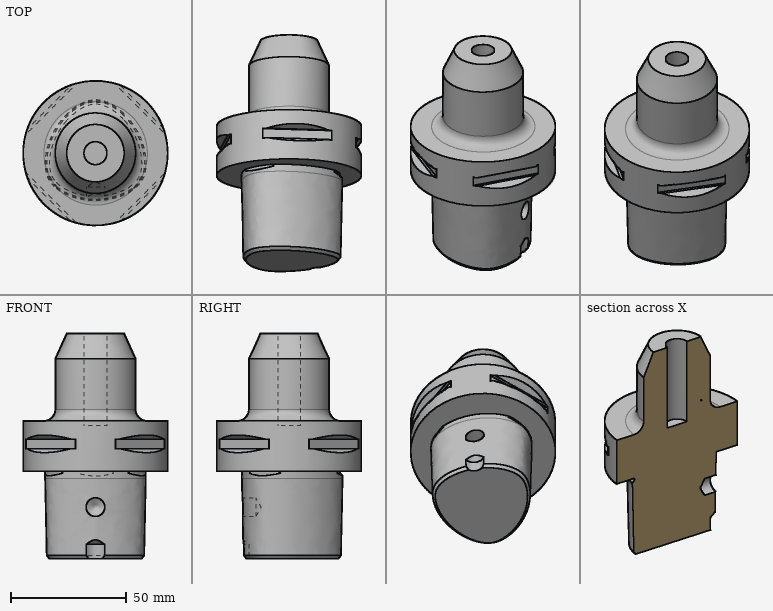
import cadquery as cq
import math

SHANK_LENGTH = 38.0
FLANGE_HEIGHT = 22.0
NOSE_LENGTH = 38.0

FLANGE_DIAMETER = 63.0
NOSE_DIAMETER = 35.0
NOSE_TIP_DIAMETER = 25.0
NOSE_CONE_LENGTH = 11.0
NOSE_ROOT_RADIUS = 5.0
BORE_DIAMETER = 10.0
BORE_DEPTH = 40.0

SHANK_WIDTH = 43.9
SHANK_END_WIDTH = 42.5
LOBE_HEIGHT = 1.4
LOBE_COUNT = 3
FIRST_LOBE_ANGLE = 90.0
OUTLINE_POINTS = 72
STRAIGHT_LENGTH = 3.0
END_CHAMFER_LENGTH = 1.5
END_CHAMFER_WIDTH = 1.2

GROOVE_BOTTOM_DIAMETER = 44.5
GROOVE_RADIUS = 0.8
GROOVE_CENTER_Z = -0.45
GROOVE_EXIT_ANGLE = 45.0

NOTCH_COUNT = 4
FIRST_NOTCH_ANGLE = 45.0
NOTCH_CENTER_Z = 12.0
NOTCH_FLOOR_DISTANCE = 27.3
NOTCH_FLOOR_WIDTH = 30.3
NOTCH_HEIGHT = 4.2
NOTCH_WALL_DEPTH = 1.2
NOTCH_FLARE_ANGLE = 30.0

SIDE_HOLE_DIAMETER = 8.1
SIDE_HOLE_POINT_ANGLE = 120.0
SIDE_HOLE_Z = -15.5
SIDE_HOLE_DEPTH = 6.0
KEYWAY_AXIS_DISTANCE = 22.35
KEYWAY_DIAMETER = 9.6
KEYWAY_POINT_ANGLE = 102.0
KEYWAY_HEIGHT = 6.3

FLANGE_RADIUS = FLANGE_DIAMETER / 2
NOSE_RADIUS = NOSE_DIAMETER / 2
NOSE_TOP_Z = FLANGE_HEIGHT + NOSE_LENGTH
FLAT_DISTANCE = SHANK_WIDTH / 2 - LOBE_HEIGHT
CLEARANCE = 5.0


def make_head():
    """Flange and nose as one turned body."""
    root_z = FLANGE_HEIGHT + NOSE_ROOT_RADIUS
    root_x = NOSE_RADIUS + NOSE_ROOT_RADIUS
    arc_offset = NOSE_ROOT_RADIUS * math.sin(math.radians(45))
    profile = (
        cq.Workplane("XZ")
        .lineTo(FLANGE_RADIUS, 0)
        .lineTo(FLANGE_RADIUS, FLANGE_HEIGHT)
        .lineTo(root_x, FLANGE_HEIGHT)
        .threePointArc((root_x - arc_offset, root_z - arc_offset), (NOSE_RADIUS, root_z))
        .lineTo(NOSE_RADIUS, NOSE_TOP_Z - NOSE_CONE_LENGTH)
        .lineTo(NOSE_TIP_DIAMETER / 2, NOSE_TOP_Z)
        .lineTo(0, NOSE_TOP_Z)
        .close()
    )
    return profile.revolve(360, (0, 0, 0), (0, 1, 0))


def shank_outline(z, inset):
    """Constant-width lobed curve at height z, moved inward by inset."""
    points = []
    for i in range(OUTLINE_POINTS):
        angle = 2 * math.pi * i / OUTLINE_POINTS
        lobe_phase = LOBE_COUNT * (angle - math.radians(FIRST_LOBE_ANGLE))
        distance = SHANK_WIDTH / 2 - inset + LOBE_HEIGHT * math.cos(lobe_phase)
        rate = -LOBE_COUNT * LOBE_HEIGHT * math.sin(lobe_phase)
        x = distance * math.cos(angle) - rate * math.sin(angle)
        y = distance * math.sin(angle) + rate * math.cos(angle)
        points.append(cq.Vector(x, y, z))
    return cq.Wire.assembleEdges([cq.Edge.makeSpline(points, periodic=True)])


def make_shank():
    """Straight neck, tapered body and chamfered end of the shank."""
    taper_end = SHANK_LENGTH - END_CHAMFER_LENGTH
    taper_inset = (SHANK_WIDTH - SHANK_END_WIDTH) / 2
    sections = [
        shank_outline(0, 0),
        shank_outline(-STRAIGHT_LENGTH, 0),
        shank_outline(-taper_end, taper_inset),
        shank_outline(-SHANK_LENGTH, taper_inset + END_CHAMFER_WIDTH),
    ]
    return cq.Workplane(cq.Solid.makeLoft(sections, True))


def make_groove():
    """Ring that cuts the undercut groove: an arc running tangentially into a slope."""
    bottom_x = GROOVE_BOTTOM_DIAMETER / 2
    center_x = bottom_x + GROOVE_RADIUS
    exit_angle = math.radians(GROOVE_EXIT_ANGLE)
    top_x = center_x - math.sqrt(GROOVE_RADIUS**2 - GROOVE_CENTER_Z**2)
    slope_x = center_x - GROOVE_RADIUS * math.sin(exit_angle)
    slope_z = GROOVE_CENTER_Z - GROOVE_RADIUS * math.cos(exit_angle)
    outer_x = center_x + CLEARANCE
    outer_z = slope_z - (outer_x - slope_x) * math.tan(exit_angle)
    section = (
        cq.Workplane("XZ")
        .moveTo(top_x, 0)
        .threePointArc((bottom_x, GROOVE_CENTER_Z), (slope_x, slope_z))
        .lineTo(outer_x, outer_z)
        .lineTo(outer_x, 0)
        .close()
    )
    return section.revolve(360, (0, 0, 0), (0, 1, 0))


def make_notch():
    """Gripper notch with short straight walls and flared sides, on the +X side."""
    half_height = NOTCH_HEIGHT / 2
    flare_start = NOTCH_FLOOR_DISTANCE + NOTCH_WALL_DEPTH
    outer = FLANGE_RADIUS + CLEARANCE
    flare = (outer - flare_start) * math.tan(math.radians(NOTCH_FLARE_ANGLE))
    return (
        cq.Workplane("XZ")
        .moveTo(NOTCH_FLOOR_DISTANCE, -half_height)
        .lineTo(flare_start, -half_height)
        .lineTo(outer, -half_height - flare)
        .lineTo(outer, half_height + flare)
        .lineTo(flare_start, half_height)
        .lineTo(NOTCH_FLOOR_DISTANCE, half_height)
        .close()
        .extrude(NOTCH_FLOOR_WIDTH / 2, both=True)
        .translate((0, 0, NOTCH_CENTER_Z))
    )


def make_drill(diameter, point_angle, depth):
    """Drill envelope along +Z: full diameter up to depth, then the conical point."""
    radius = diameter / 2
    point_height = radius / math.tan(math.radians(point_angle / 2))
    return (
        cq.Workplane("XZ")
        .moveTo(0, -CLEARANCE)
        .lineTo(radius, -CLEARANCE)
        .lineTo(radius, depth)
        .lineTo(0, depth + point_height)
        .close()
        .revolve(360, (0, 0, 0), (0, 1, 0))
    )


def cut_around(body, cutter, count, first_angle):
    """Cut evenly spaced copies of a cutter around the Z axis."""
    for i in range(count):
        angle = first_angle + i * 360 / count
        body = body.cut(cutter.rotate((0, 0, 0), (0, 0, 1), angle))
    return body


shank = make_shank().cut(make_groove())
side_hole = make_drill(SIDE_HOLE_DIAMETER, SIDE_HOLE_POINT_ANGLE, SIDE_HOLE_DEPTH)
side_hole = side_hole.rotate((0, 0, 0), (1, 0, 0), -90)
shank = shank.cut(side_hole.translate((0, -FLAT_DISTANCE, SIDE_HOLE_Z)))
keyway = make_drill(KEYWAY_DIAMETER, KEYWAY_POINT_ANGLE, KEYWAY_HEIGHT)
keyway = keyway.translate((0, -KEYWAY_AXIS_DISTANCE, -SHANK_LENGTH))
shank = shank.cut(keyway)

head = cut_around(make_head(), make_notch(), NOTCH_COUNT, FIRST_NOTCH_ANGLE)
bore = cq.Workplane("XY", origin=(0, 0, NOSE_TOP_Z)).circle(BORE_DIAMETER / 2).extrude(-BORE_DEPTH)
head = head.cut(bore)

result = head.union(shank)